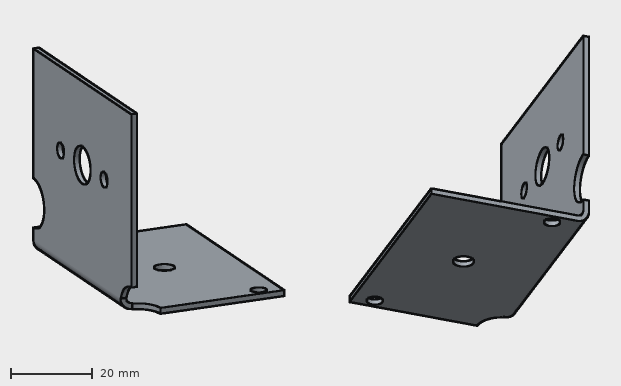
import cadquery as cq

width = 57.15
depth = 41.2
height = 52.4
thickness = 1.55
inner_bend_radius = 1.6
outer_bend_radius = inner_bend_radius + thickness

wall_hole_height = 30.85
shaft_hole_diameter = 9.55
screw_hole_diameter = 3.95
screw_spacing = 25.3

floor_center_y = 22.1
floor_center_diameter = 5.1
floor_screw_edge_offset = 2.8
floor_screw_y_offset = 13.5

notch_radius = 6.35
left_notch_height = 12.7
corner_notch_reach = 7.85
corner_notch_center = corner_notch_reach - notch_radius


def bent_sheet():
    """L-shaped section with concentric bend radii, extruded along X."""
    section = (
        cq.Workplane("YZ")
        .moveTo(0, height)
        .lineTo(0, outer_bend_radius)
        .radiusArc((outer_bend_radius, 0), -outer_bend_radius)
        .lineTo(depth, 0)
        .lineTo(depth, thickness)
        .lineTo(outer_bend_radius, thickness)
        .radiusArc((thickness, outer_bend_radius), inner_bend_radius)
        .lineTo(thickness, height)
        .close()
    )
    return section.extrude(width)


def wall_cutter(x, z, radius):
    """Cylinder along Y through the wall only."""
    return cq.Workplane("XZ").center(x, z).circle(radius).extrude(-thickness)


def floor_cutter(x, y, radius):
    """Cylinder along Z through the floor only."""
    return cq.Workplane("XY").center(x, y).circle(radius).extrude(thickness)


def bend_relief():
    """Straight cut that removes the right end of the bend between the two corner notches."""
    return cq.Workplane("XY").box(
        notch_radius, outer_bend_radius, outer_bend_radius, centered=False
    ).translate((width - notch_radius, 0, 0))


result = bent_sheet()

result = result.cut(wall_cutter(width / 2, wall_hole_height, shaft_hole_diameter / 2))
for side in (-1, 1):
    screw_x = width / 2 + side * screw_spacing / 2
    result = result.cut(wall_cutter(screw_x, wall_hole_height, screw_hole_diameter / 2))

result = result.cut(floor_cutter(width / 2, floor_center_y, floor_center_diameter / 2))
for side in (-1, 1):
    screw_x = width / 2 + side * (width / 2 - floor_screw_edge_offset)
    screw_y = floor_center_y + side * floor_screw_y_offset
    result = result.cut(floor_cutter(screw_x, screw_y, screw_hole_diameter / 2))

result = result.cut(wall_cutter(0, left_notch_height, notch_radius))

result = result.cut(wall_cutter(width, corner_notch_center, notch_radius))
result = result.cut(floor_cutter(width, corner_notch_center, notch_radius))
result = result.cut(bend_relief())